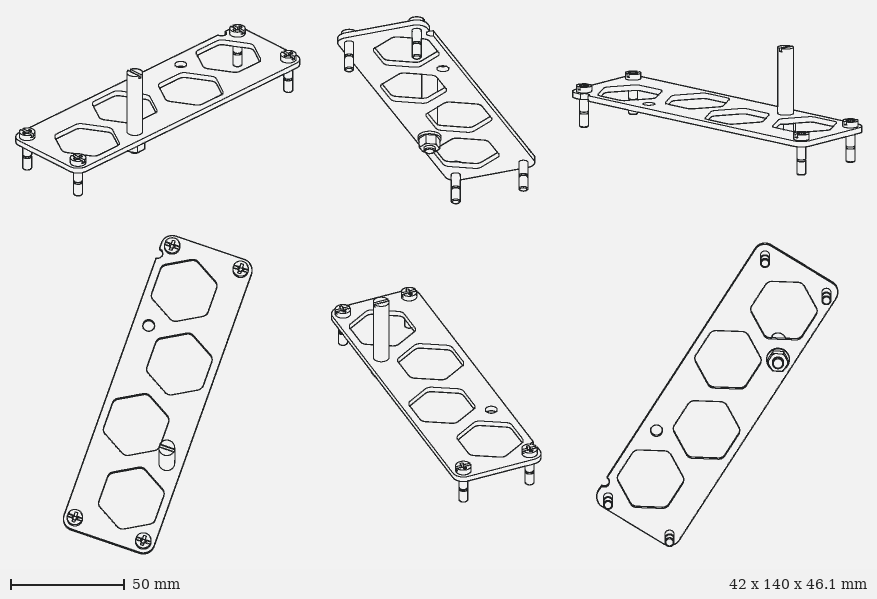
import cadquery as cq
import math

plate_width = 42.0
plate_length = 140.0
plate_thickness = 2.5
corner_radius = 5.0

window_count = 4
window_across_flats = 26.2
window_corner_radius = 3.2
window_pitch = 32.0
window_offset = 4.5

post_x = 14.0
post_y = -28.0
locating_hole_diameter = 5.2

notch_radius = 2.2
notch_y = 60.0

screw_inset = corner_radius
head_diameter = 6.9
head_height = 2.5
shank_diameter = 4.0
shank_length = 13.6
end_chamfer = 0.4
groove_top = 6.6
groove_width = 0.8
groove_depth = 0.21
cross_span = 4.5
cross_arm_width = 1.3
cross_floor_span = 1.7
cross_depth = 2.1

slot_width = 1.3
slot_depth = 1.4

post_diameter = 7.0
post_height = 30.0
washer_diameter = 10.1
washer_thickness = 1.3
nut_across_flats = 8.0
nut_height = 4.5
nut_chamfer_diameter = 8.5
nut_chamfer_angle = 30.0
stud_diameter = 5.0
stud_protrusion = 1.7


def cylinder(diameter, bottom, top):
    """Cylinder on the Z axis between two heights."""
    return cq.Workplane("XY").workplane(offset=bottom).circle(diameter / 2).extrude(top - bottom)


def hexagon(across_flats, bottom, top):
    """Hexagonal prism on the Z axis with two corners along Y."""
    corner_diameter = across_flats / math.cos(math.radians(30))
    prism = cq.Workplane("XY").polygon(6, corner_diameter).extrude(top - bottom)
    return prism.rotate((0, 0, 0), (0, 0, 1), 90).translate((0, 0, bottom))


def driver_slot(length, top):
    """Cutter for a straight slot along X, sunk from the given height."""
    return cq.Workplane("XY").box(length, slot_width, 2 * slot_depth).translate((0, 0, top))


def cross_recess(top):
    """Cross-shaped cutter whose arms narrow along a cone toward the recess floor."""
    face = cq.Workplane("XY").workplane(offset=top)
    arm_x = face.rect(cross_span, cross_arm_width).extrude(-cross_depth)
    arm_y = face.rect(cross_arm_width, cross_span).extrude(-cross_depth)
    cone = cq.Solid.makeCone(cross_floor_span / 2, cross_span / 2, cross_depth)
    narrowing = cq.Workplane("XY").add(cone).translate((0, 0, top - cross_depth))
    return arm_x.union(arm_y).intersect(narrowing)


def make_plate():
    plate = (
        cq.Workplane("XY")
        .box(plate_width, plate_length, plate_thickness, centered=(True, True, False))
        .translate((0, 0, -plate_thickness))
        .edges("|Z")
        .fillet(corner_radius)
    )
    window = hexagon(window_across_flats, -plate_thickness, 0).edges("|Z").fillet(window_corner_radius)
    for index in range(window_count):
        side = 1 if index % 2 == 0 else -1
        y = (index - (window_count - 1) / 2) * window_pitch
        plate = plate.cut(window.translate((side * window_offset, y, 0)))
    locating_hole = cylinder(locating_hole_diameter, -plate_thickness, 0)
    notch = cylinder(2 * notch_radius, -plate_thickness, 0)
    plate = plate.cut(locating_hole.translate((-post_x, -post_y, 0)))
    return plate.cut(notch.translate((-plate_width / 2, notch_y, 0)))


def make_screw():
    """Cheese-head screw whose head rests on the plate's top face."""
    shank_bottom = -plate_thickness - shank_length
    groove_start = -plate_thickness - groove_top
    shank = cylinder(shank_diameter, shank_bottom, 0).faces("<Z").chamfer(end_chamfer)
    groove = cylinder(shank_diameter, groove_start - groove_width, groove_start).cut(
        cylinder(shank_diameter - 2 * groove_depth, groove_start - groove_width, groove_start)
    )
    head = cylinder(head_diameter, 0, head_height)
    head = head.cut(driver_slot(head_diameter, head_height)).cut(cross_recess(head_height))
    return shank.cut(groove).union(head)


def nut_corner_cone(bottom):
    """Cone widening upward from the nut's lower face, for rounding off its lower corners."""
    flare = nut_height / math.tan(math.radians(nut_chamfer_angle))
    start_radius = nut_chamfer_diameter / 2
    cone = cq.Solid.makeCone(start_radius, start_radius + flare, nut_height)
    return cq.Workplane("XY").add(cone).translate((0, 0, bottom))


def make_post():
    """Slotted round post held by a stud, washer and nut under the plate."""
    washer_bottom = -plate_thickness - washer_thickness
    nut_bottom = washer_bottom - nut_height
    stud_bottom = nut_bottom - stud_protrusion
    post = cylinder(post_diameter, 0, post_height).cut(driver_slot(post_diameter, post_height))
    stud = cylinder(stud_diameter, stud_bottom, 0).faces("<Z").chamfer(end_chamfer)
    washer = cylinder(washer_diameter, washer_bottom, -plate_thickness)
    nut = hexagon(nut_across_flats, nut_bottom, washer_bottom).intersect(nut_corner_cone(nut_bottom))
    return post.union(stud).union(washer).union(nut)


result = make_plate().union(make_post().translate((post_x, post_y, 0)))

screw = make_screw()
screw_x = plate_width / 2 - screw_inset
screw_y = plate_length / 2 - screw_inset
for x in (-screw_x, screw_x):
    for y in (-screw_y, screw_y):
        result = result.union(screw.translate((x, y, 0)))